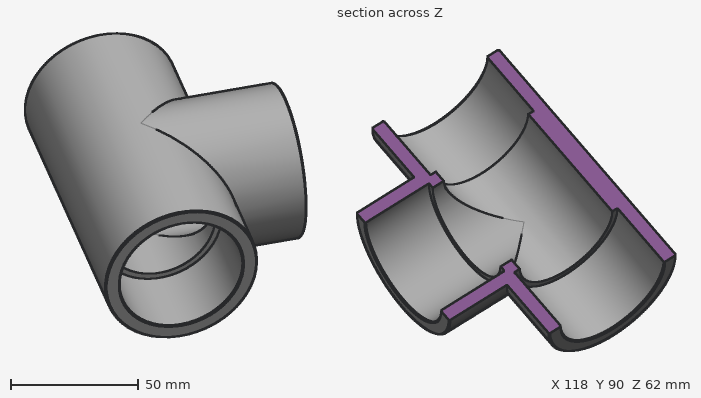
import cadquery as cq

run_length = 118.0
body_diameter = 62.0
socket_diameter = 50.0
bore_diameter = 45.0
socket_depth = 31.0
edge_chamfer = 0.5

arm_length = run_length / 2

branch_direction = cq.Vector(0, 1, 0)
arm_directions = [
    cq.Vector(-1, 0, 0),
    cq.Vector(1, 0, 0),
    branch_direction,
]


def arm_cylinder(direction, diameter, start, end):
    """Solid cylinder along an arm, between two distances from the tee centre."""
    plane = cq.Plane(origin=direction * start, xDir=(0, 0, 1), normal=direction)
    return cq.Workplane(plane).circle(diameter / 2).extrude(end - start)


def mouth_cone(direction):
    """Cutter that bevels the inner edge of a socket mouth."""
    cone = cq.Solid.makeCone(
        socket_diameter / 2 + edge_chamfer,
        socket_diameter / 2,
        edge_chamfer,
        pnt=direction * arm_length,
        dir=direction * -1,
    )
    return cq.Workplane(cone)


run = cq.Workplane("YZ").circle(body_diameter / 2).extrude(arm_length, both=True)
run = run.faces("<X or >X").chamfer(edge_chamfer)
branch = arm_cylinder(branch_direction, body_diameter, 0, arm_length)
branch = branch.faces(">Y").chamfer(edge_chamfer)
result = run.union(branch)

for arm in arm_directions:
    result = result.cut(arm_cylinder(arm, bore_diameter, 0, arm_length))
    result = result.cut(arm_cylinder(arm, socket_diameter, arm_length - socket_depth, arm_length))
    result = result.cut(mouth_cone(arm))